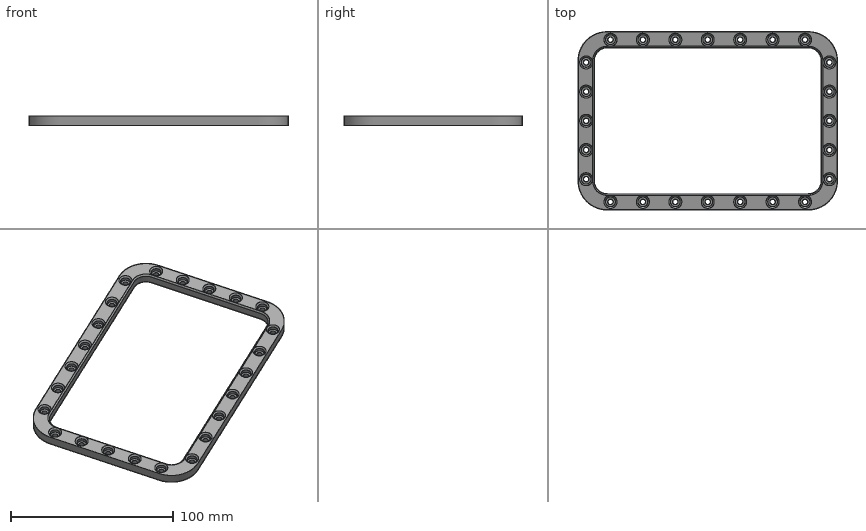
import cadquery as cq

length = 160.0
straight_length = 124.0
inner_corner_radius = 8.0
cross_row_spacing = 100.0
thickness = 6.0
edge_chamfer = 1.0

corner_radius = (length - straight_length) / 2
rail_width = corner_radius - inner_corner_radius
width = cross_row_spacing + rail_width
end_row_spacing = length - rail_width

long_side_count = 7
long_side_span = 120.0
short_side_count = 5
short_side_span = 72.0
hole_diameter = 3.2
rim_diameter = 8.0
rim_chamfer = 1.0
counterbore_diameter = rim_diameter - 2 * rim_chamfer
counterbore_depth = thickness / 2


def rounded_plate(size_x, size_y, radius):
    """Plate standing on Z = 0 with rounded vertical corners."""
    plate = cq.Workplane("XY").rect(size_x, size_y).extrude(thickness)
    return plate.edges("|Z").fillet(radius)


def make_frame():
    """Rectangular frame whose opening has a chamfered upper edge."""
    outer = rounded_plate(length, width, corner_radius)
    opening = rounded_plate(length - 2 * rail_width, width - 2 * rail_width, inner_corner_radius)
    frame = outer.cut(opening)
    opening_rim = frame.faces(">Z").val().innerWires()[0]
    return frame.newObject(opening_rim.Edges()).chamfer(edge_chamfer)


def evenly_spaced(count, span):
    """Positions of `count` holes spread over `span`, centred on zero."""
    pitch = span / (count - 1)
    return [index * pitch - span / 2 for index in range(count)]


def hole_centres():
    """Centres of all screw holes around the frame."""
    centres = []
    for side in (-1, 1):
        for x in evenly_spaced(long_side_count, long_side_span):
            centres.append((x, side * cross_row_spacing / 2))
        for y in evenly_spaced(short_side_count, short_side_span):
            centres.append((side * end_row_spacing / 2, y))
    return centres


def hole_cutter():
    """Through hole, counterbore and chamfered mouth as one turned body on the Z axis."""
    hole_radius = hole_diameter / 2
    counterbore_radius = counterbore_diameter / 2
    floor = thickness - counterbore_depth
    profile = (
        cq.Workplane("XZ")
        .moveTo(0, 0)
        .lineTo(hole_radius, 0)
        .lineTo(hole_radius, floor)
        .lineTo(counterbore_radius, floor)
        .lineTo(counterbore_radius, thickness - rim_chamfer)
        .lineTo(rim_diameter / 2, thickness)
        .lineTo(0, thickness)
        .close()
    )
    return profile.revolve(360, (0, 0, 0), (0, 1, 0))


cutter = hole_cutter().val()
screw_holes = cq.Workplane("XY").pushPoints(hole_centres()).eachpoint(lambda place: cutter.moved(place))
result = make_frame().cut(screw_holes)